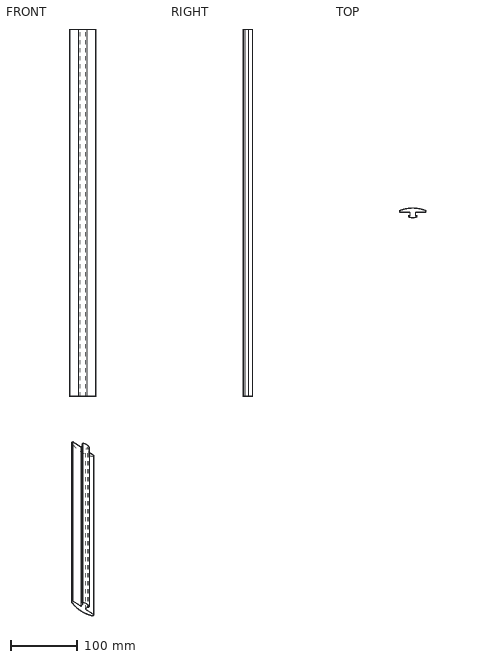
import cadquery as cq

length = 555.0
width = 40.0
depth = 15.0

cap_underside = 8.5
crown_rise = 4.0
tip_top = depth - crown_rise
tip_chamfer = 0.5
tip_round = 1.0

stem_width = 8.5
foot_width = 12.0
foot_flat_width = 3.5
foot_side_start = 1.0
foot_side_end = 3.5

half_width = width / 2


def make_cap():
    """Cap with an arched top and tips rounded above and chamfered below."""
    cap = (
        cq.Workplane("XY")
        .moveTo(-half_width, tip_top)
        .threePointArc((0, depth), (half_width, tip_top))
        .lineTo(half_width, cap_underside + tip_chamfer)
        .lineTo(half_width - tip_chamfer, cap_underside)
        .lineTo(-half_width + tip_chamfer, cap_underside)
        .lineTo(-half_width, cap_underside + tip_chamfer)
        .close()
        .extrude(length)
    )
    tip_edges = cq.selectors.BoxSelector(
        (-width, tip_top - tip_round / 2, 0),
        (width, tip_top + tip_round / 2, length),
    )
    return cap.edges("|Z").edges(tip_edges).fillet(tip_round)


def make_stem():
    """Stem that reaches into the cap and widens to a foot with a bevelled bottom."""
    right_side = [
        (foot_flat_width / 2, 0),
        (foot_width / 2, foot_side_start),
        (foot_width / 2, foot_side_end),
        (stem_width / 2, foot_side_end),
        (stem_width / 2, tip_top),
    ]
    left_side = [(-x, y) for x, y in reversed(right_side)]
    return cq.Workplane("XY").polyline(right_side + left_side).close().extrude(length)


result = make_cap().union(make_stem())